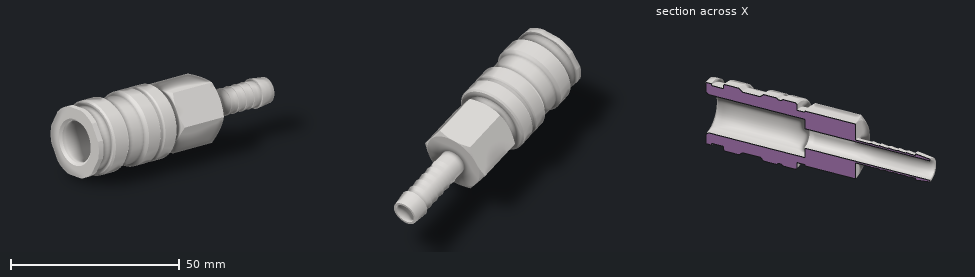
import cadquery as cq
import math


total_length = 75.0
sleeve_diameter = 23.0

flange_thickness = 1.9
flange_diameter = 22.0
flange_across_flats = 21.2

front_neck_diameter = 20.0
rear_neck_diameter = 18.15

sleeve_front = 5.7
sleeve_rear = 30.5
sleeve_edge_chamfer = 0.5
waist_front = 12.2
waist_rear = 18.15
waist_diameter = 21.0
waist_slope_length = 1.1
groove_front = 24.2
groove_rear = 25.2
groove_diameter = 22.0

hex_front = 33.0
hex_rear = 50.0
hex_across_flats = 19.0
hex_chamfer_angle = 30.0

stem_diameter = 8.0
tip_length = 5.0
tip_diameter = 9.2
barb_count = 5
barb_length = 1.5
barb_pitch = 3.0
barb_diameter = 8.5

socket_diameter = 13.0
socket_mouth_diameter = 14.5
socket_depth = hex_front
through_bore_diameter = 6.5


def turned(profile):
    """Revolve a (diameter, y) outline about Y, closing it along the axis."""
    outline = [(-diameter / 2, y) for diameter, y in profile]
    axis_ends = [(0, profile[-1][1]), (0, profile[0][1])]
    return cq.Workplane("XY").polyline(outline + axis_ends).close().revolve(360, (0, 0, 0), (0, 1, 0))


def cylinder(diameter, y_start, y_end):
    return turned([(diameter, y_start), (diameter, y_end)])


def hexagonal_bar(across_flats, y_start, y_end):
    """Hexagonal prism along Y with its corners on the X axis."""
    across_corners = across_flats / math.cos(math.radians(30))
    length = y_end - y_start
    return cq.Workplane("XZ", origin=(0, y_end, 0)).polygon(6, across_corners).extrude(length)


def mouth_flange():
    disc = cylinder(flange_diameter, 0, flange_thickness)
    return disc.intersect(hexagonal_bar(flange_across_flats, 0, flange_thickness))


def sleeve():
    chamfer = sleeve_edge_chamfer
    end_diameter = sleeve_diameter - 2 * chamfer
    groove_slope = (sleeve_diameter - groove_diameter) / 2
    return turned([
        (end_diameter, sleeve_front),
        (sleeve_diameter, sleeve_front + chamfer),
        (sleeve_diameter, waist_front - waist_slope_length),
        (waist_diameter, waist_front),
        (waist_diameter, waist_rear),
        (sleeve_diameter, waist_rear + waist_slope_length),
        (sleeve_diameter, groove_front - groove_slope),
        (groove_diameter, groove_front),
        (groove_diameter, groove_rear),
        (sleeve_diameter, groove_rear + groove_slope),
        (sleeve_diameter, sleeve_rear - chamfer),
        (end_diameter, sleeve_rear),
    ])


def wrench_hexagon():
    """Hexagon with both ends turned to a cone that meets the middle of each flat."""
    across_corners = hex_across_flats / math.cos(math.radians(30))
    corner_height = (across_corners - hex_across_flats) / 2
    chamfer_length = corner_height * math.tan(math.radians(hex_chamfer_angle))
    chamfered_blank = turned([
        (hex_across_flats, hex_front),
        (across_corners, hex_front + chamfer_length),
        (across_corners, hex_rear - chamfer_length),
        (hex_across_flats, hex_rear),
    ])
    return hexagonal_bar(hex_across_flats, hex_front, hex_rear).intersect(chamfered_blank)


def hose_nipple():
    """Stem with saw-tooth barbs, each narrowing towards the tip, and a tapered tip."""
    tip_shoulder = total_length - tip_length
    first_barb = tip_shoulder - barb_count * barb_pitch
    profile = [(stem_diameter, hex_rear)]
    for index in range(barb_count):
        shoulder = first_barb + index * barb_pitch
        profile += [
            (stem_diameter, shoulder),
            (barb_diameter, shoulder),
            (stem_diameter, shoulder + barb_length),
        ]
    profile += [
        (stem_diameter, tip_shoulder),
        (tip_diameter, tip_shoulder),
        (stem_diameter, total_length),
    ]
    return turned(profile)


def socket():
    """Blind socket with a 45 degree lead-in at the mouth."""
    lead_in = (socket_mouth_diameter - socket_diameter) / 2
    return turned([
        (socket_mouth_diameter, 0),
        (socket_diameter, lead_in),
        (socket_diameter, socket_depth),
    ])


front_neck = cylinder(front_neck_diameter, flange_thickness, sleeve_front)
rear_neck = cylinder(rear_neck_diameter, sleeve_rear, hex_front)
through_bore = cylinder(through_bore_diameter, 0, total_length)

result = (
    mouth_flange()
    .union(front_neck)
    .union(sleeve())
    .union(rear_neck)
    .union(wrench_hexagon())
    .union(hose_nipple())
    .cut(socket())
    .cut(through_bore)
)